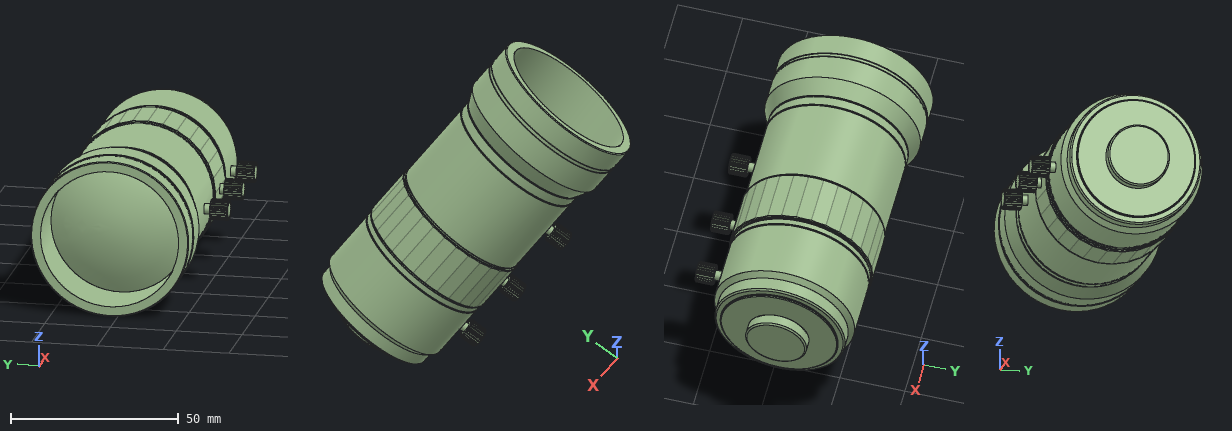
import cadquery as cq
import math


HOOD_RADIUS = 24.0
RIM_CHAMFER = 0.3
HOOD_GROOVE_START = 6.9
HOOD_GROOVE_WIDTH = 1.2
HOOD_GROOVE_DEPTH = 0.3
HOOD_END = 16.0
TAPER_END = 21.0
BORE_RADIUS = 21.0
BORE_DEPTH = 16.0

BARREL_RADIUS = 21.6
BARREL_END = 86.9
JOINT_STARTS = (TAPER_END, 24.3, 69.1)
JOINT_WIDTH = 0.3
JOINT_DEPTH = 0.3

GRIP_START = 51.2
GRIP_END = 66.7
GRIP_RADIUS = 22.1
GRIP_CHAMFER = 0.3
GRIP_FACETS = 30
GRIP_TURN = 2.2
RELIEF_WIDTH = 0.6
RELIEF_DEPTH = 0.3

FLANGE_RADIUS = 20.0
FLANGE_END = 92.8
FLANGE_CHAMFER = 0.5
MOUNT_RADIUS = 18.2
MOUNT_END = 93.7
MOUNT_RELIEF_DEPTH = 0.3
MOUNT_RELIEF_END = 93.3
MOUNT_CHAMFER = 0.4
CAP_NECK_RADIUS = 8.8
CAP_START = 94.1
CAP_RADIUS = 9.4
CAP_CHAMFER = 0.5
TOTAL_LENGTH = 97.6

SCREW_POSITIONS = (37.3, 59.0, 77.9)
SHANK_RADIUS = 1.6
SHANK_ROOT = 19.5
KNOB_START = 23.5
KNOB_END = 29.0
KNOB_RADIUS = 3.1
KNOB_CHAMFER = 0.3
KNURL_COUNT = 24
KNURL_ROOT_RADIUS = 2.3
KNURL_TIP_SHARE = 0.4

LENS_BULGE = 5.4


def turned(points):
    """Revolve a closed (X, radius) outline about the optical axis."""
    return cq.Workplane("XZ").polyline(points).close().revolve(360, (0, 0, 0), (1, 0, 0))


def groove(start, width, outer_radius, depth):
    """A ring-shaped square-edged cutter that runs around the optical axis."""
    cutter_radius = outer_radius + depth
    ring = cq.Workplane("YZ", origin=(start, 0, 0)).circle(cutter_radius).circle(outer_radius - depth)
    return ring.extrude(width)


def make_barrel():
    """The solid turned body, from the hood to the end cap."""
    relief_radius = MOUNT_RADIUS - MOUNT_RELIEF_DEPTH
    barrel = turned([
        (0, 0),
        (0, HOOD_RADIUS - RIM_CHAMFER),
        (RIM_CHAMFER, HOOD_RADIUS),
        (HOOD_END, HOOD_RADIUS),
        (TAPER_END, BARREL_RADIUS),
        (BARREL_END, BARREL_RADIUS),
        (BARREL_END + BARREL_RADIUS - FLANGE_RADIUS, FLANGE_RADIUS),
        (FLANGE_END - FLANGE_CHAMFER, FLANGE_RADIUS),
        (FLANGE_END, FLANGE_RADIUS - FLANGE_CHAMFER),
        (FLANGE_END, relief_radius),
        (MOUNT_RELIEF_END, relief_radius),
        (MOUNT_RELIEF_END, MOUNT_RADIUS),
        (MOUNT_END, MOUNT_RADIUS - MOUNT_CHAMFER),
        (MOUNT_END, CAP_NECK_RADIUS),
        (CAP_START, CAP_NECK_RADIUS),
        (CAP_START, CAP_RADIUS),
        (TOTAL_LENGTH - CAP_CHAMFER, CAP_RADIUS),
        (TOTAL_LENGTH, CAP_RADIUS - CAP_CHAMFER),
        (TOTAL_LENGTH, 0),
    ])
    barrel = barrel.cut(groove(HOOD_GROOVE_START, HOOD_GROOVE_WIDTH, HOOD_RADIUS, HOOD_GROOVE_DEPTH))
    for start in JOINT_STARTS:
        barrel = barrel.cut(groove(start, JOINT_WIDTH, BARREL_RADIUS, JOINT_DEPTH))
    for start in (GRIP_START - RELIEF_WIDTH, GRIP_END):
        barrel = barrel.cut(groove(start, RELIEF_WIDTH, BARREL_RADIUS, RELIEF_DEPTH))
    bore = cq.Workplane("YZ").circle(BORE_RADIUS).extrude(BORE_DEPTH)
    return barrel.cut(bore)


def make_grip():
    """A many-sided ring whose corners are bevelled at both ends."""
    length = GRIP_END - GRIP_START
    prism = cq.Workplane("YZ", origin=(GRIP_START, 0, 0)).polygon(GRIP_FACETS, 2 * GRIP_RADIUS).extrude(length)
    prism = prism.rotate((0, 0, 0), (1, 0, 0), -GRIP_TURN)
    envelope = cq.Workplane("YZ", origin=(GRIP_START, 0, 0)).circle(GRIP_RADIUS).extrude(length)
    return prism.intersect(envelope.edges().chamfer(GRIP_CHAMFER))


def knurl_outline():
    """Corners of the knob section: flat-topped teeth with V-shaped flutes between them."""
    corners = []
    for tooth in range(KNURL_COUNT):
        for radius, step in (
            (KNOB_RADIUS, -KNURL_TIP_SHARE / 2),
            (KNOB_RADIUS, KNURL_TIP_SHARE / 2),
            (KNURL_ROOT_RADIUS, 0.5),
        ):
            angle = 2 * math.pi * (tooth + step) / KNURL_COUNT
            corners.append((radius * math.cos(angle), radius * math.sin(angle)))
    return corners


def make_screw(x):
    """A thumb screw pointing along -Y, with a knurled knob."""
    length = KNOB_END - KNOB_START
    base = cq.Workplane("XZ", origin=(x, -KNOB_START, 0))
    envelope = base.circle(KNOB_RADIUS).extrude(length).edges().chamfer(KNOB_CHAMFER)
    knob = base.polyline(knurl_outline()).close().extrude(length).intersect(envelope)
    shank = cq.Workplane("XZ", origin=(x, -SHANK_ROOT, 0)).circle(SHANK_RADIUS).extrude(KNOB_START - SHANK_ROOT)
    return knob.union(shank)


def make_housing():
    """The whole lens housing: barrel, grip ring and thumb screws in one solid."""
    housing = make_barrel().union(make_grip())
    for x in SCREW_POSITIONS:
        housing = housing.union(make_screw(x))
    return housing


def make_lens():
    """A plano-convex lens that fills the bore and rests on its floor."""
    sphere_radius = (BORE_RADIUS**2 + LENS_BULGE**2) / (2 * LENS_BULGE)
    half_angle = math.asin(BORE_RADIUS / sphere_radius) / 2
    apex = BORE_DEPTH - LENS_BULGE
    arc_middle = (
        apex + sphere_radius * (1 - math.cos(half_angle)),
        sphere_radius * math.sin(half_angle),
    )
    return (
        cq.Workplane("XY")
        .moveTo(apex, 0)
        .threePointArc(arc_middle, (BORE_DEPTH, BORE_RADIUS))
        .lineTo(BORE_DEPTH, 0)
        .close()
        .revolve(360, (0, 0, 0), (1, 0, 0))
    )


housing = make_housing()
lens = make_lens()
result = cq.Compound.makeCompound([housing.val(), lens.val()])